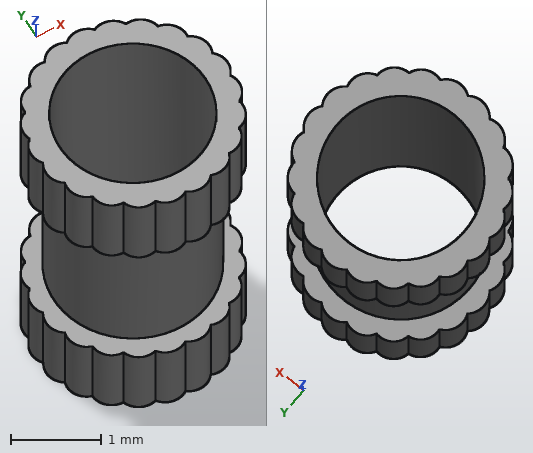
import cadquery as cq
import math

total_length = 4.0
collar_length = 1.0
sleeve_diameter = 2.0
bore_diameter = 1.85
lobe_count = 21
lobe_radius = 0.25

lobe_center_radius = sleeve_diameter / 2
crest_radius = lobe_center_radius + lobe_radius
lobe_pitch = 2 * math.pi / lobe_count
half_pitch = lobe_pitch / 2
first_lobe_angle = math.pi / 2

valley_radius = lobe_center_radius * math.cos(half_pitch) + math.sqrt(
    lobe_radius**2 - (lobe_center_radius * math.sin(half_pitch)) ** 2
)


def polar_point(radius, angle):
    return (radius * math.cos(angle), radius * math.sin(angle))


def make_collar(base_height):
    """Scalloped collar whose outline is a ring of convex arcs."""
    start = polar_point(valley_radius, first_lobe_angle - half_pitch)
    outline = cq.Workplane("XY").workplane(offset=base_height).moveTo(*start)
    for index in range(lobe_count):
        angle = first_lobe_angle + index * lobe_pitch
        crest = polar_point(crest_radius, angle)
        valley = polar_point(valley_radius, angle + half_pitch)
        outline = outline.threePointArc(crest, valley)
    return outline.close().extrude(collar_length)


def make_cylinder(diameter):
    """Full-length cylinder on the part axis."""
    return cq.Workplane("XY").circle(diameter / 2).extrude(total_length)


body = make_cylinder(sleeve_diameter)
for base_height in (0, total_length - collar_length):
    body = body.union(make_collar(base_height))

result = body.cut(make_cylinder(bore_diameter))